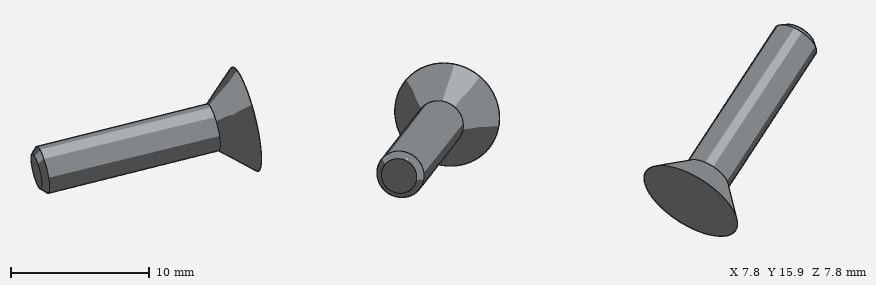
import cadquery as cq

total_length = 15.88
head_diameter = 7.8
head_height = 2.45
shank_diameter = 3.51
tip_chamfer = 0.45

head_radius = head_diameter / 2
shank_radius = shank_diameter / 2
tip_radius = shank_radius - tip_chamfer

head_face_y = total_length / 2
tip_y = -total_length / 2

half_profile = (
    cq.Workplane("XY")
    .moveTo(0, tip_y)
    .lineTo(tip_radius, tip_y)
    .lineTo(shank_radius, tip_y + tip_chamfer)
    .lineTo(shank_radius, head_face_y - head_height)
    .lineTo(head_radius, head_face_y)
    .lineTo(0, head_face_y)
    .close()
)

result = half_profile.revolve(360, (0, 0, 0), (0, 1, 0))